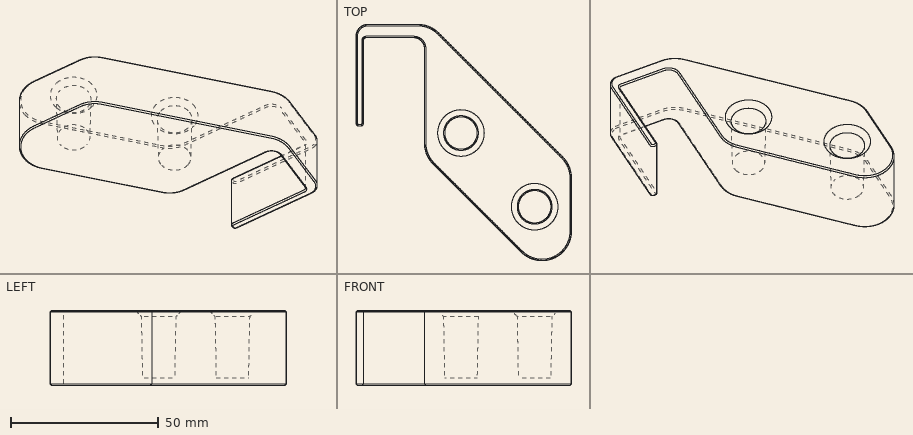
import cadquery as cq
import math

LENGTH_X = 73.09
LENGTH_Y = 80.18
HEIGHT = 25.4

ARM_THICKNESS = 2.5
ARM_LENGTH = 34.5
BRIDGE_THICKNESS = 4.5
SLOT_WIDTH = 20.7
BRIDGE_EDGE_LENGTH = 25.15
HOOK_OUTER_RADIUS = 4.0
SLOT_ARM_RADIUS = 1.0
SLOT_BODY_RADIUS = 3.7
ARM_TIP_RADIUS = 1.0

BODY_RADIUS = 10.0
EDGE_CHAMFER = 0.5

HOLE_DIAMETER = 11.8
HOLE_FLOOR_DIAMETER = 11.0
COUNTERSINK_DIAMETER = 15.8
COUNTERSINK_DEPTH = (COUNTERSINK_DIAMETER - HOLE_DIAMETER) / 2
HOLE_FLOOR_HEIGHT = 2.5
FIRST_HOLE_X = 35.6
FIRST_HOLE_Y = -36.85
HOLE_STEP = 25.0
HOLE_COUNT = 2

BODY_LEFT = ARM_THICKNESS + SLOT_WIDTH
UPPER_SLANT_END = BRIDGE_EDGE_LENGTH - LENGTH_X
END_CENTER_X = LENGTH_X - BODY_RADIUS
END_CENTER_Y = BODY_RADIUS - LENGTH_Y
LOWER_SLANT_SUM = END_CENTER_X + END_CENTER_Y - math.sqrt(2) * BODY_RADIUS

ARM_TIP_OUTER = (0, -ARM_LENGTH)
ARM_TIP_INNER = (ARM_THICKNESS, -ARM_LENGTH)
HOOK_CORNER = (0, 0)
BRIDGE_END = (BRIDGE_EDGE_LENGTH, 0)
UPPER_RIGHT = (LENGTH_X, UPPER_SLANT_END)
LOWER_RIGHT = (LENGTH_X, LOWER_SLANT_SUM - LENGTH_X)
LOWER_LEFT = (BODY_LEFT, LOWER_SLANT_SUM - BODY_LEFT)
SLOT_BODY_CORNER = (BODY_LEFT, -BRIDGE_THICKNESS)
SLOT_ARM_CORNER = (ARM_THICKNESS, -BRIDGE_THICKNESS)


def round_corner(part, corner, radius):
    """Round the vertical edge that stands at a sharp corner of the outline."""
    reach = 0.01
    x, y = corner
    edge = cq.selectors.BoxSelector(
        (x - reach, y - reach, -reach),
        (x + reach, y + reach, HEIGHT + reach),
    )
    return part.edges("|Z").edges(edge).fillet(radius)


def make_body():
    """Extrude the sharp outline, round its corners and chamfer both rims."""
    outline = [
        HOOK_CORNER,
        BRIDGE_END,
        UPPER_RIGHT,
        LOWER_RIGHT,
        LOWER_LEFT,
        SLOT_BODY_CORNER,
        SLOT_ARM_CORNER,
        ARM_TIP_INNER,
        ARM_TIP_OUTER,
    ]
    body = cq.Workplane("XY").polyline(outline).close().extrude(HEIGHT)

    for corner in (BRIDGE_END, UPPER_RIGHT, LOWER_RIGHT, LOWER_LEFT):
        body = round_corner(body, corner, BODY_RADIUS)
    body = round_corner(body, HOOK_CORNER, HOOK_OUTER_RADIUS)
    body = round_corner(body, SLOT_BODY_CORNER, SLOT_BODY_RADIUS)
    body = round_corner(body, SLOT_ARM_CORNER, SLOT_ARM_RADIUS)
    for corner in (ARM_TIP_INNER, ARM_TIP_OUTER):
        body = round_corner(body, corner, ARM_TIP_RADIUS)

    return body.faces("<Z or >Z").edges().chamfer(EDGE_CHAMFER)


def make_hole_cutter():
    """Revolve the half section of one tapered, countersunk blind hole about the Z axis."""
    section = [
        (0, HOLE_FLOOR_HEIGHT),
        (HOLE_FLOOR_DIAMETER / 2, HOLE_FLOOR_HEIGHT),
        (HOLE_DIAMETER / 2, HEIGHT - COUNTERSINK_DEPTH),
        (COUNTERSINK_DIAMETER / 2, HEIGHT),
        (0, HEIGHT),
    ]
    return cq.Workplane("XZ").polyline(section).close().revolve(360, (0, 0), (0, 1))


result = make_body()
hole_cutter = make_hole_cutter()
for index in range(HOLE_COUNT):
    offset = index * HOLE_STEP
    hole_x = FIRST_HOLE_X + offset
    hole_y = FIRST_HOLE_Y - offset
    result = result.cut(hole_cutter.translate((hole_x, hole_y, 0)))